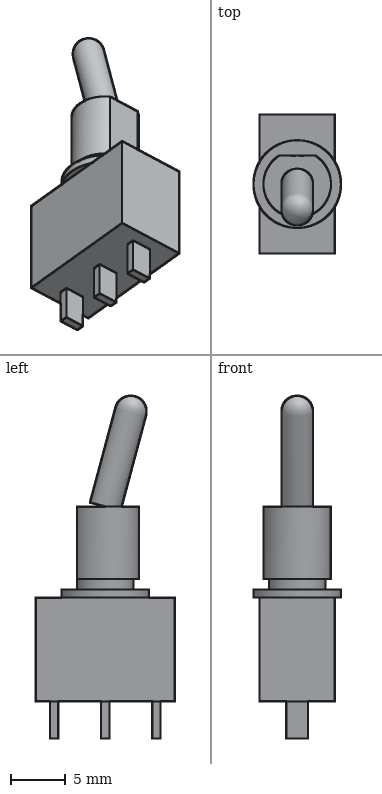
import cadquery as cq
import math

total_height = 31.3

body_width = 6.9
body_length = 12.7
body_height = 9.48

pin_width = 2.0
pin_thickness = 0.78
pin_length = 3.38
pin_pitch = 4.65
pin_count = 3

washer_diameter = 8.0
washer_thickness = 0.75
neck_diameter = 5.2
neck_height = 0.95
bushing_diameter = 6.17
bushing_height = 6.6
flat_offset = 2.6

lever_diameter = 2.9
lever_tilt = 15.0

body_top = pin_length + body_height
washer_top = body_top + washer_thickness
neck_top = washer_top + neck_height
bushing_top = neck_top + bushing_height

lever_radius = lever_diameter / 2
tip_rise = total_height - lever_radius - bushing_top
lever_length = tip_rise / math.cos(math.radians(lever_tilt))


def disc(diameter, height, base):
    return cq.Workplane("XY").workplane(offset=base).circle(diameter / 2).extrude(height)


def make_body():
    body = cq.Workplane("XY").box(body_width, body_length, body_height, centered=(True, True, False))
    return body.translate((0, 0, pin_length))


def make_pins():
    return (
        cq.Workplane("XY")
        .rarray(0.3, pin_pitch, 1, pin_count)
        .rect(pin_width, pin_thickness)
        .extrude(pin_length)
    )


def make_bushing():
    bushing = disc(bushing_diameter, bushing_height, neck_top)
    flat_keeper = (
        cq.Workplane("XY")
        .workplane(offset=neck_top)
        .center(0, flat_offset - bushing_diameter / 2)
        .rect(bushing_diameter, bushing_diameter)
        .extrude(bushing_height)
    )
    return bushing.intersect(flat_keeper)


def make_lever():
    rod = cq.Workplane("XY").circle(lever_radius).extrude(lever_length)
    tip = cq.Workplane("XY").sphere(lever_radius).translate((0, 0, lever_length))
    lever = rod.union(tip).rotate((0, 0, 0), (1, 0, 0), lever_tilt)
    return lever.translate((0, 0, bushing_top))


result = (
    make_body()
    .union(make_pins())
    .union(disc(washer_diameter, washer_thickness, body_top))
    .union(disc(neck_diameter, neck_height, washer_top))
    .union(make_bushing())
    .union(make_lever())
)